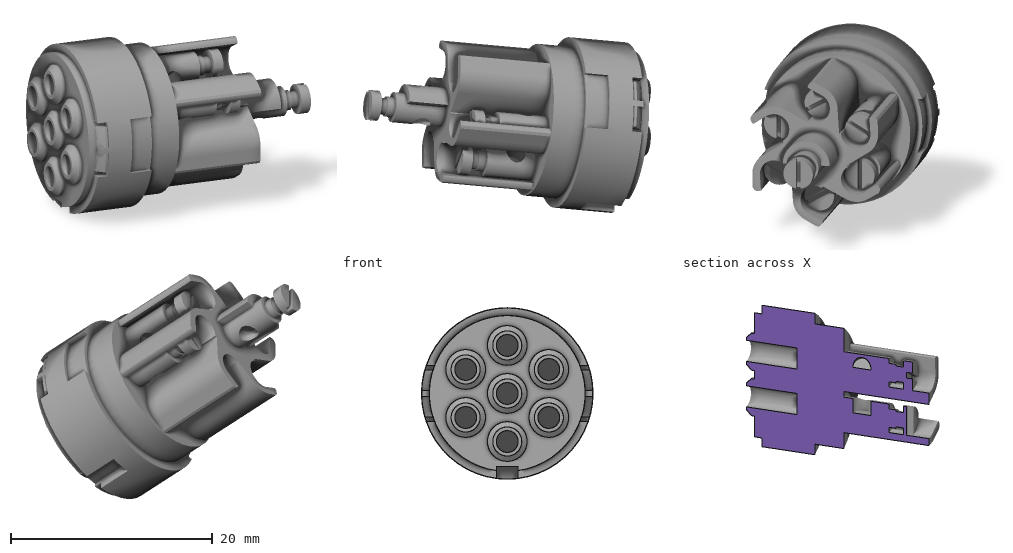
import cadquery as cq
import math

TOTAL_LENGTH = 27.7

PITCH_RADIUS = 4.76
STEP_ANGLE = 60
TOP_ANGLE = 90
CONTACT_ANGLES = [TOP_ANGLE + STEP_ANGLE * i for i in range(6)]

COLLAR_RADIUS = 1.97
COLLAR_HEIGHT = 0.85
COLLAR_CHAMFER = 0.53
SOCKET_RADIUS = 1.08
SOCKET_DEPTH = 5.55

PLATE_RADIUS = 7.73
RING_START = 1.7
RING_RADIUS = 8.5
RING_END = 7.53
BODY_RADIUS = 7.55
BODY_END = 10.72

CLIP_HALF_HEIGHT = 2.8
CLIP_END = 5.2
CLIP_RECESS_RADIUS = 8.05
POCKET_START = 1.58
POCKET_END = 2.71
POCKET_FLOOR = 7.62
POCKET_GAP = 0.3
RAMP_TOP = 2.33
RAMP_LENGTH = 0.78
CUT_MARGIN = 0.28

KEY_WIDTH = 2.13
KEY_FLOOR = 7.23

TERMINAL_RADIUS = 1.5
HEAD_LENGTH = 1.02
NECK_RADIUS = 0.83
NECK_LENGTH = 0.78
SHOULDER_RADIUS = 1.0
SHOULDER_LENGTH = 0.75
SLOT_WIDTH = 0.47
SLOT_DEPTH = 0.6
WIRE_HOLE_RADIUS = 0.97
WIRE_HOLE_SETBACK = 5.55
WIRE_HOLE_TURN = -120
TERMINAL_SETBACK = 9.47

SHELL_END = 20.05
CORE_RADIUS = 2.58
CENTRE_SHELL_RADIUS = 2.38
CENTRE_SHELL_END = 24.07
SHELL_RADIUS = 2.27
SHELL_LIMIT_RADIUS = 7.4
LIP_START_X = 0.1
LIP_TOP_X = 0.42
LIP_EDGE_X = 0.78
LIP_EDGE_Z = 6.81
LIP_BULGE = 0.08


def polar(radius, angle, centre=(0.0, 0.0)):
    """Point in the XZ plane at an angle in degrees from +X towards +Z."""
    a = math.radians(angle)
    return (centre[0] + radius * math.cos(a), centre[1] + radius * math.sin(a))


def tangent_angle(point, centre, radius):
    """Angle on a circle where the tangent to an outside point touches, on the far side from +X."""
    direction = math.atan2(point[1] - centre[1], point[0] - centre[0])
    return math.degrees(direction + math.acos(radius / math.dist(centre, point)))


def cylinder(radius, start, end):
    """Cylinder on the main axis between two Y positions."""
    return cq.Workplane("XZ", origin=(0, start, 0)).circle(radius).extrude(start - end)


def block(x0, x1, y0, y1, z0, z1):
    return cq.Workplane("XY").box(x1 - x0, y1 - y0, z1 - z0, centered=False).translate((x0, y0, z0))


def turn(shape, angle):
    """Rotate about the main axis, positive from +X towards +Z."""
    return shape.rotate((0, 0, 0), (0, 1, 0), -angle)


def ring_sector(inner, outer, y0, y1, z0, z1):
    """Both sides of a tube about the main axis, kept between two heights."""
    tube = cylinder(outer, y0, y1).cut(cylinder(inner, y0, y1))
    return tube.intersect(block(-outer, outer, y0, y1, z0, z1))


def body():
    plate = cylinder(PLATE_RADIUS, COLLAR_HEIGHT, RING_END)
    ring = cylinder(RING_RADIUS, RING_START, RING_END)
    rear = cylinder(BODY_RADIUS, RING_START, BODY_END)
    key = block(-KEY_WIDTH / 2, KEY_WIDTH / 2, COLLAR_HEIGHT, CLIP_END, -RING_RADIUS, -KEY_FLOOR)
    recess = ring_sector(
        CLIP_RECESS_RADIUS, RING_RADIUS, CLIP_END, RING_END, -CLIP_HALF_HEIGHT, CLIP_HALF_HEIGHT
    )
    return plate.union(ring).union(rear).cut(key).cut(recess)


def clip_pockets():
    """Latch pockets above and below the middle of each side, leaving a sloped ramp in each."""
    outer = RING_RADIUS + CUT_MARGIN
    slope = RAMP_LENGTH / (RING_RADIUS - POCKET_FLOOR)
    ramp_end = POCKET_START + slope * (outer - POCKET_FLOOR)
    cone = (
        cq.Workplane("XY")
        .polyline([(0, POCKET_START), (POCKET_FLOOR, POCKET_START), (outer, ramp_end), (0, ramp_end)])
        .close()
        .revolve(360, (0, 0, 0), (0, 1, 0))
    )
    ramps = cone.intersect(block(-outer, outer, POCKET_START, POCKET_END, POCKET_GAP, RAMP_TOP))
    upper = ring_sector(POCKET_FLOOR, outer, POCKET_START, POCKET_END, POCKET_GAP, CLIP_HALF_HEIGHT)
    upper = upper.cut(ramps)
    return upper.union(upper.mirror("XY"))


def pin_collar():
    collar = cylinder(COLLAR_RADIUS, 0, RING_START)
    return collar.faces("<Y").chamfer(COLLAR_CHAMFER)


def terminal(end, hole_angle):
    """Slotted screw terminal on the main axis with its wire hole facing hole_angle."""
    head_start = end - HEAD_LENGTH
    neck_start = head_start - NECK_LENGTH
    shoulder_start = neck_start - SHOULDER_LENGTH
    screw = cylinder(TERMINAL_RADIUS, RING_END, shoulder_start)
    screw = screw.union(cylinder(SHOULDER_RADIUS, shoulder_start, neck_start))
    screw = screw.union(cylinder(NECK_RADIUS, neck_start, head_start))
    screw = screw.union(cylinder(TERMINAL_RADIUS, head_start, end))
    slot = block(-SLOT_WIDTH / 2, SLOT_WIDTH / 2, end - SLOT_DEPTH, end, -TERMINAL_RADIUS, TERMINAL_RADIUS)
    wire_hole = (
        cq.Workplane("XY", origin=(0, end - WIRE_HOLE_SETBACK, 0))
        .circle(WIRE_HOLE_RADIUS)
        .extrude(-TERMINAL_RADIUS)
    )
    return turn(screw.cut(slot).cut(wire_hole), hole_angle + 90)


def outer_shell():
    """Curved wall around the top contact, open towards the lower right and joined to the core."""
    pin = (0.0, PITCH_RADIUS)
    lean = math.degrees(math.asin((CORE_RADIUS - SHELL_RADIUS) / PITCH_RADIUS))
    wall_angle = 180 - lean
    wall_top = polar(SHELL_RADIUS, wall_angle, pin)
    wall_foot = polar(CORE_RADIUS, wall_angle)
    lip_start = (LIP_START_X, math.sqrt(SHELL_LIMIT_RADIUS**2 - LIP_START_X**2))
    lip_top = (LIP_TOP_X, math.sqrt(SHELL_LIMIT_RADIUS**2 - LIP_TOP_X**2))
    lip_edge = (LIP_EDGE_X, LIP_EDGE_Z)
    crest_angle = tangent_angle(lip_start, pin, SHELL_RADIUS)
    crest = polar(SHELL_RADIUS, crest_angle, pin)
    bore_start_angle = tangent_angle(lip_edge, pin, TERMINAL_RADIUS)
    next_wall_angle = wall_angle - STEP_ANGLE
    bore_end_angle = next_wall_angle + 180
    bore_start = polar(TERMINAL_RADIUS, bore_start_angle, pin)
    bore_middle = polar(TERMINAL_RADIUS, (bore_start_angle + bore_end_angle) / 2, pin)
    bore_end = polar(TERMINAL_RADIUS, bore_end_angle, pin)
    wall_distance = PITCH_RADIUS * math.cos(math.radians(next_wall_angle - TOP_ANGLE)) - CORE_RADIUS
    web_foot = polar(wall_distance, bore_end_angle, pin)
    next_wall_foot = polar(CORE_RADIUS, next_wall_angle)
    profile = (
        cq.Workplane("XZ", origin=(0, BODY_END, 0))
        .moveTo(*bore_start)
        .lineTo(*lip_edge)
        .sagittaArc(lip_top, -LIP_BULGE)
        .radiusArc(lip_start, -SHELL_LIMIT_RADIUS)
        .lineTo(*crest)
        .threePointArc(polar(SHELL_RADIUS, (crest_angle + wall_angle) / 2, pin), wall_top)
        .lineTo(*wall_foot)
        .lineTo(0, 0)
        .lineTo(*next_wall_foot)
        .lineTo(*web_foot)
        .lineTo(*bore_end)
        .threePointArc(bore_middle, bore_start)
        .close()
    )
    return profile.extrude(BODY_END - SHELL_END)


def centre_shell():
    """Half shell over the middle terminal, behind the full core."""
    core = cylinder(CORE_RADIUS, RING_END, SHELL_END)
    shell = cylinder(CENTRE_SHELL_RADIUS, SHELL_END, CENTRE_SHELL_END)
    upper_half = block(-CORE_RADIUS, CORE_RADIUS, SHELL_END, CENTRE_SHELL_END, 0, CORE_RADIUS)
    return core.union(shell.intersect(upper_half))


def place(shape, centre):
    return shape.translate((centre[0], 0, centre[1]))


hex_centres = [polar(PITCH_RADIUS, angle) for angle in CONTACT_ANGLES]

result = body().cut(clip_pockets())

result = result.union(centre_shell()).union(terminal(TOTAL_LENGTH, -90))

top_shell = outer_shell()
for angle, centre in zip(CONTACT_ANGLES, hex_centres):
    screw = terminal(TOTAL_LENGTH - TERMINAL_SETBACK, angle + WIRE_HOLE_TURN)
    result = result.union(turn(top_shell, angle - TOP_ANGLE))
    result = result.union(place(screw, centre))

for centre in [(0.0, 0.0)] + hex_centres:
    result = result.union(place(pin_collar(), centre))
    result = result.cut(place(cylinder(SOCKET_RADIUS, 0, SOCKET_DEPTH), centre))